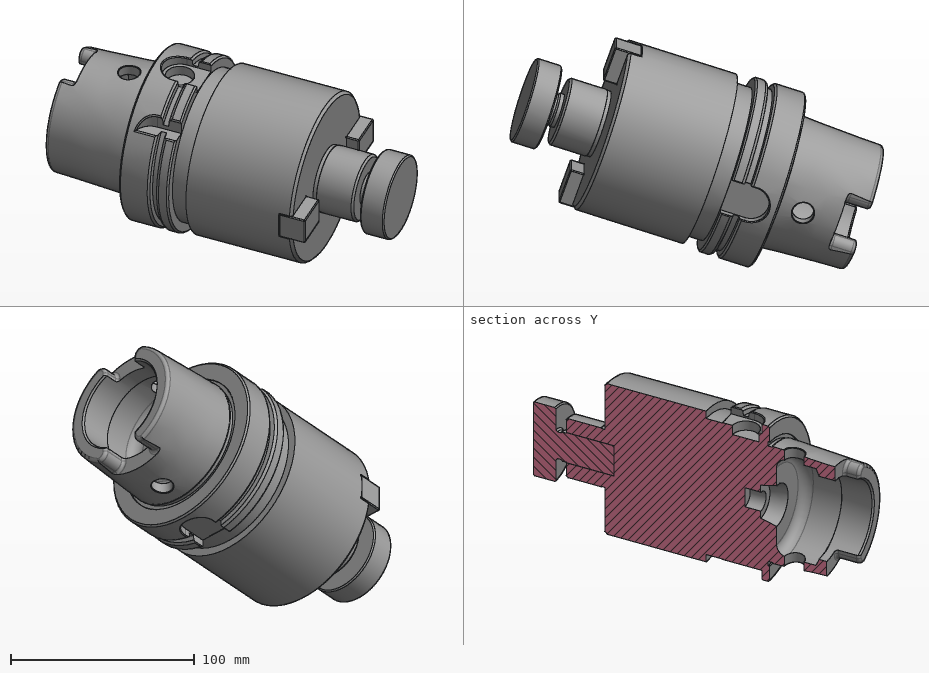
import cadquery as cq
import math

total_length = 195.6

shank_length = 49.9
taper_length = 48.3
taper_end_radius = 37.8
taper_rate = 0.05
nose_radius = taper_end_radius - taper_rate * taper_length
nose_round = 2.0
undercut_radius = 37.2
undercut_outer_radius = 39.7
undercut_depth = 1.0

flange_diameter = 100.0
flange_radius = flange_diameter / 2
flange_end = 79.0
flange_chamfer = 1.0
groove_start = 66.7
groove_stop = 73.4
groove_lip_radius = 48.9
groove_wall_start = 67.9
groove_wall_stop = 71.8
groove_floor_radius = 46.2
groove_wall_lean = 0.4

neck_radius = 43.8
body_start = 89.0
body_end = 151.5
body_radius = 48.5
body_chamfer = 1.5
relief_diameter = 37.5
relief_end = 153.7
pilot_diameter = 38.1
pilot_end = 175.5
pilot_chamfer = 1.2

bore_diameter = 53.0
bore_mouth_chamfer = 1.0
bore_lip_depth = 19.5
chamber_radius = 31.0
chamber_start = 21.5
bore_floor = 45.5
bore_floor_diameter = 49.5
seat_diameter = 26.0
seat_bottom_diameter = 21.0
seat_depth = 9.8
coolant_diameter = 12.0
coolant_depth = 9.8

notch_half_width = 10.2
notch_corner_round = 4.9
notch_shoulder_height = 31.5
notch_floor_round = 1.8
upper_notch_depth = 9.5
lower_notch_depth = 14.7

cross_hole_diameter = 12.0
cross_hole_chamfer = 0.4
cross_hole_x = 34.8

slot_width = 20.0
slot_center_x = 64.7
slot_floor = 44.0
chip_hole_diameter = 16.0
chip_hole_depth = 5.9
slot_rim_chamfer = 0.5
index_slot_floor = 31.3
index_slot_wall = 31.3

rim_tolerance = 0.4

key_width = 15.8
key_start = 143.8
key_end = 159.2
key_inner = 27.5
key_outer = 48.0
key_chamfer = 0.5

shank_diameter = 19.0
screw_depth = 29.3
waist_diameter = 17.5
waist_start = 177.6
waist_end = 180.5
waist_taper = 1.0
head_start = 181.5
head_radius = 23.9
head_chamfer = 0.8


def revolve_about_x(points):
    """Turn a closed half profile of (x, radius) points about the X axis."""
    return cq.Workplane("XY").polyline(points).close().revolve(360, (0, 0, 0), (1, 0, 0))


def round_nose_edge(blank):
    """Round the outer edge of the nose face."""
    return blank.faces("<X").edges().fillet(nose_round)


def make_turned_blank():
    undercut_floor = shank_length + undercut_depth
    return revolve_about_x([
        (0, 0),
        (0, nose_radius),
        (taper_length, taper_end_radius),
        (taper_length, undercut_radius),
        (undercut_floor, undercut_radius),
        (undercut_floor, undercut_outer_radius),
        (shank_length, undercut_outer_radius),
        (shank_length, flange_radius - flange_chamfer),
        (shank_length + flange_chamfer, flange_radius),
        (flange_end - flange_chamfer, flange_radius),
        (flange_end, flange_radius - flange_chamfer),
        (flange_end, neck_radius),
        (body_start, neck_radius),
        (body_start, body_radius),
        (body_end - body_chamfer, body_radius),
        (body_end, body_radius - body_chamfer),
        (body_end, relief_diameter / 2),
        (relief_end, relief_diameter / 2),
        (relief_end, pilot_diameter / 2),
        (pilot_end - pilot_chamfer, pilot_diameter / 2),
        (pilot_end, pilot_diameter / 2 - pilot_chamfer),
        (pilot_end, 0),
    ])


def make_gripper_groove():
    outside = flange_radius + flange_chamfer
    return revolve_about_x([
        (groove_start, outside),
        (groove_start, flange_radius),
        (groove_wall_start, groove_lip_radius),
        (groove_wall_start + groove_wall_lean, groove_floor_radius),
        (groove_wall_stop - groove_wall_lean, groove_floor_radius),
        (groove_wall_stop, groove_lip_radius),
        (groove_stop, flange_radius),
        (groove_stop, outside),
    ])


def make_clamping_bore():
    bore_radius = bore_diameter / 2
    floor_radius = bore_floor_diameter / 2
    floor_round = chamber_radius - floor_radius
    seat_bottom = bore_floor + seat_depth
    coolant_end = seat_bottom + coolant_depth
    return (
        cq.Workplane("XY")
        .moveTo(0, 0)
        .lineTo(0, bore_radius + bore_mouth_chamfer)
        .lineTo(bore_mouth_chamfer, bore_radius)
        .lineTo(bore_lip_depth, bore_radius)
        .lineTo(chamber_start, chamber_radius)
        .lineTo(bore_floor - floor_round, chamber_radius)
        .radiusArc((bore_floor, floor_radius), floor_round)
        .lineTo(bore_floor, seat_diameter / 2)
        .lineTo(seat_bottom, seat_bottom_diameter / 2)
        .lineTo(seat_bottom, coolant_diameter / 2)
        .lineTo(coolant_end, coolant_diameter / 2)
        .lineTo(coolant_end, 0)
        .close()
        .revolve(360, (0, 0, 0), (1, 0, 0))
    )


def make_notch_cutter(depth, side):
    """Drive notch open towards side * Z, with a rounded floor edge and a flared mouth at the nose.

    Its flanks run straight up from the bore, then curve away from each other to flat shoulders.
    """
    reach = 2 * taper_end_radius
    corner_y = notch_half_width + notch_corner_round
    corner_z = notch_shoulder_height - notch_corner_round
    rim = (
        cq.Workplane("YZ")
        .moveTo(-reach, notch_shoulder_height)
        .lineTo(-corner_y, notch_shoulder_height)
        .radiusArc((-notch_half_width, corner_z), notch_corner_round)
        .lineTo(-notch_half_width, 0)
        .lineTo(notch_half_width, 0)
        .lineTo(notch_half_width, corner_z)
        .radiusArc((corner_y, notch_shoulder_height), notch_corner_round)
        .lineTo(reach, notch_shoulder_height)
    )
    opening = rim.lineTo(reach, reach).lineTo(-reach, reach).close().extrude(depth)
    wall = cq.Workplane("YZ").rect(2 * reach, 2 * reach).extrude(depth).cut(opening)
    flared_wall = wall.faces("<X").edges("not(<Z or <Y or >Y)").fillet(nose_round)
    opening = opening.faces(">X").edges("not(<Z or >Z or <Y or >Y)").fillet(notch_floor_round)
    notch = opening.union(wall.cut(flared_wall))
    return notch if side > 0 else notch.mirror("XY")


def make_cross_hole():
    return (
        cq.Workplane("XY")
        .center(cross_hole_x, 0)
        .circle(cross_hole_diameter / 2)
        .extrude(taper_end_radius, both=True)
    )


def make_flange_slot(center_y, floor, side):
    """Slot with a round end, milled along side * Z and open towards the neck."""
    run = flange_end - slot_center_x
    height = side * (flange_radius - floor)
    plane = cq.Workplane("XY", origin=(slot_center_x, center_y, side * floor))
    round_end = plane.circle(slot_width / 2).extrude(height)
    straight = plane.center(run / 2, 0).rect(run, slot_width).extrude(height)
    return round_end.union(straight)


def make_chip_hole():
    return (
        cq.Workplane("XY", origin=(slot_center_x, 0, slot_floor - chip_hole_depth))
        .circle(chip_hole_diameter / 2)
        .extrude(chip_hole_depth)
    )


def make_key_block(side, outer):
    """Block as long and wide as a key, from the inner key face out to the given distance along side * Y."""
    block = cq.Workplane("XY").box(key_end - key_start, outer - key_inner, key_width)
    return block.translate(((key_start + key_end) / 2, side * (key_inner + outer) / 2, 0))


def make_key(side):
    """Rectangular drive key with broken edges at side * Y on the end face of the body."""
    return make_key_block(side, key_outer).edges().chamfer(key_chamfer)


def make_key_seat(side):
    """Seat of a drive key, open to the rim and the end face of the body."""
    return make_key_block(side, body_radius)


def make_screw_hole():
    return (
        cq.Workplane("YZ", origin=(pilot_end - screw_depth, 0, 0))
        .circle(shank_diameter / 2)
        .extrude(screw_depth)
    )


def make_screw():
    shank_radius = shank_diameter / 2
    waist_radius = waist_diameter / 2
    return revolve_about_x([
        (pilot_end - screw_depth, 0),
        (pilot_end - screw_depth, shank_radius),
        (waist_start, shank_radius),
        (waist_start + waist_taper, waist_radius),
        (waist_end, waist_radius),
        (head_start, waist_radius + head_start - waist_end),
        (head_start, head_radius - head_chamfer),
        (head_start + head_chamfer, head_radius),
        (total_length - head_chamfer, head_radius),
        (total_length, head_radius - head_chamfer),
        (total_length, 0),
    ])


def cut_with_broken_rim(blank, cutter, surface_radius, chamfer):
    """Cut the blank and chamfer the rim that the cut leaves on its outer surface."""
    cut_blank = blank.cut(cutter)
    box = cutter.val().BoundingBox()
    on_cutter = cq.selectors.BoxSelector(
        (box.xmin - rim_tolerance, box.ymin - rim_tolerance, box.zmin - rim_tolerance),
        (box.xmax - flange_chamfer, box.ymax + rim_tolerance, box.zmax + rim_tolerance),
    )
    rim = [
        edge for edge in cut_blank.edges(on_cutter).vals()
        if math.hypot(edge.Center().y, edge.Center().z) > surface_radius
    ]
    return cut_blank.newObject(rim).chamfer(chamfer)


def make_holder():
    holder = round_nose_edge(make_turned_blank())
    for side in (1, -1):
        slot = make_flange_slot(0, slot_floor, side)
        holder = cut_with_broken_rim(holder, slot, groove_lip_radius - flange_chamfer, slot_rim_chamfer)
    index_slot = make_flange_slot(-index_slot_wall - slot_width / 2, index_slot_floor, 1)
    holder = cut_with_broken_rim(holder, index_slot, groove_lip_radius, slot_rim_chamfer)
    holder = cut_with_broken_rim(holder, make_cross_hole(), nose_radius, cross_hole_chamfer)
    holder = holder.cut(make_gripper_groove())
    holder = holder.cut(make_chip_hole())
    holder = holder.cut(make_clamping_bore())
    holder = holder.cut(make_notch_cutter(upper_notch_depth, 1))
    holder = holder.cut(make_notch_cutter(lower_notch_depth, -1))
    for side in (1, -1):
        holder = holder.cut(make_key_seat(side))
    return holder.cut(make_screw_hole())


holder = make_holder()
keys = [make_key(side) for side in (1, -1)]
screw = make_screw()

result = cq.Compound.makeCompound([holder.val(), *[key.val() for key in keys], screw.val()])